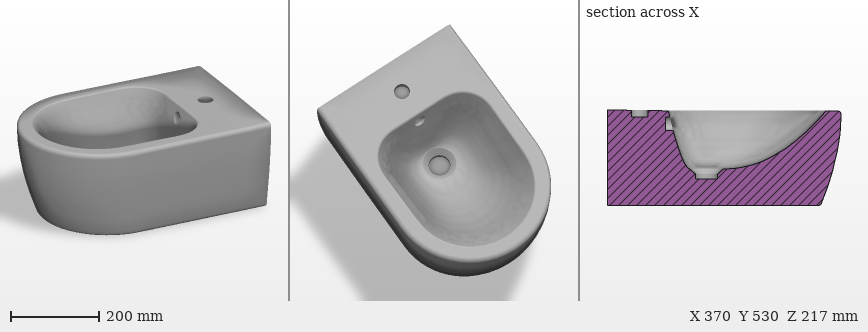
import cadquery as cq
import math


EDGE_TOLERANCE = 0.1
OPENING_MARGIN = 2.0

HALF_WIDTH = 185.0
BACK_HALF_WIDTH = 182.6
BACK_Y = 225.0
NOSE_Y = -305.0
RIM_Z = 215.0
WIDEST_Z = 204.0
SIDE_TUCK = 24.0
NOSE_TUCK = 47.0
SIDE_TUCK_POWER = 1.55
NOSE_TUCK_POWER = 1.8
BODY_SECTIONS = 6
RIM_FILLET = 10.0
BASE_FILLET = 9.0

SHELF_TOP_Z = 217.0
SHELF_RISE = SHELF_TOP_Z - RIM_Z
SHELF_FRONT_Y = 84.0
SHELF_CROWN_POWER = 5
CROWN_STEPS = 8
SHELF_SIDE_X = 174.0
SHELF_SIDE_Y = 165.0
TRIM_MARGIN = 15.0

OPENING_BACK_Y = 86.0
OPENING_FRONT_Y = -270.0
OPENING_BACK_HALF_WIDTH = 146.2
OPENING_FRONT_HALF_WIDTH = 145.0
OPENING_CORNER_Y = 10.0
OPENING_FRONT_START_Y = -125.0
OPENING_BACK_FLAT_HALF = 70.0
OPENING_FILLET = 5.0

BOWL_BOTTOM_Z = 83.5
BOWL_BOTTOM_RADIUS = 37.5
BOWL_POWER = 2.1
BOWL_BACK_POWER = 1.65
BOWL_STEPS = 7

BACK_STEPS = 3
CORNER_STEPS = 4
SIDE_STEPS = 4
FRONT_STEPS = 5

DRAIN_MOUTH_RADIUS = 38.0
DRAIN_MOUTH_FILLET = 1.5
DRAIN_RADIUS = 24.5
DRAIN_CONE_DEPTH = 12.0
DRAIN_OVERSHOOT = 5.0
DRAIN_DEPTH = 10.0

TAP_Y = 151.0
TAP_RADIUS = 18.0
TAP_DEPTH = 16.0
OVERFLOW_Z = 185.0
OVERFLOW_RADIUS = 14.5
OVERFLOW_BOTTOM_Y = 92.0


def body_outline(z):
    """Wire of the body at height z: straight back, slightly bowed sides and a semicircular nose."""
    drop = max(0.0, 1.0 - z / WIDEST_Z)
    side_inset = SIDE_TUCK * drop**SIDE_TUCK_POWER
    half = HALF_WIDTH - side_inset
    back_half = BACK_HALF_WIDTH - side_inset
    nose_y = NOSE_Y + NOSE_TUCK * drop**NOSE_TUCK_POWER
    left = cq.Vector(-half, nose_y + half, z)
    right = cq.Vector(half, nose_y + half, z)
    back_left = cq.Vector(-back_half, BACK_Y, z)
    back_right = cq.Vector(back_half, BACK_Y, z)
    backward = cq.Vector(0, 1, 0)
    nose = cq.Edge.makeThreePointArc(left, cq.Vector(0, nose_y, z), right)
    return cq.Wire.assembleEdges([
        nose,
        cq.Edge.makeTangentArc(right, backward, back_right),
        cq.Edge.makeLine(back_right, back_left),
        cq.Edge.makeTangentArc(left, backward, back_left),
    ])


def make_body():
    """Tapered shell up to its widest height, a straight band above it, trimmed by the rim and rounded."""
    levels = [WIDEST_Z * i / (BODY_SECTIONS - 1) for i in range(BODY_SECTIONS)]
    lower = cq.Solid.makeLoft([body_outline(z) for z in levels])
    band_height = SHELF_TOP_Z - WIDEST_Z
    upper = cq.Solid.extrudeLinear(body_outline(WIDEST_Z), [], cq.Vector(0, 0, band_height))
    body = cq.Workplane(lower).union(cq.Workplane(upper).intersect(rim_trim()))
    body = body.newObject(outer_rim_edges(body)).fillet(RIM_FILLET)
    return body.faces("<Z").edges("not(>Y)").fillet(BASE_FILLET)


def outer_rim_edges(body):
    """Top edges along the two sides and around the nose, leaving out the shelf outline and the back."""
    edges = []
    for edge in body.edges().vals():
        box = edge.BoundingBox()
        on_top = box.zmin > RIM_Z - EDGE_TOLERANCE
        on_side = box.xlen < HALF_WIDTH - BACK_HALF_WIDTH + EDGE_TOLERANCE
        on_nose = box.ymax < 0
        if on_top and (on_side or on_nose):
            edges.append(edge)
    return edges


def rim_trim():
    """Region below the rim plane joined with the region below the crowned, tilted shelf."""
    slope = SHELF_RISE / (BACK_Y - SHELF_FRONT_Y)
    side_drop = slope * (SHELF_SIDE_Y - SHELF_FRONT_Y)
    reach = HALF_WIDTH + TRIM_MARGIN
    crown = []
    for i in range(-CROWN_STEPS, CROWN_STEPS + 1):
        x = reach * i / CROWN_STEPS
        crown.append((x, SHELF_TOP_Z - side_drop * (abs(x) / SHELF_SIDE_X) ** SHELF_CROWN_POWER))
    profile = (
        cq.Workplane("XZ", origin=(0, BACK_Y, 0))
        .moveTo(reach, 0)
        .lineTo(-reach, 0)
        .lineTo(*crown[0])
        .spline(crown[1:], includeCurrent=True)
        .close()
    )
    length = BACK_Y - NOSE_Y
    face = cq.Face.makeFromWires(profile.val())
    shelf = cq.Solid.extrudeLinear(face, cq.Vector(0, -length, -slope * length))
    corner = cq.Vector(-reach, NOSE_Y, 0)
    flat = cq.Workplane(cq.Solid.makeBox(2 * reach, length, RIM_Z, corner))
    return flat.union(cq.Workplane(shelf))


def ellipse_points(centre_x, centre_y, radius_x, radius_y, steps, start, end):
    """Evenly spaced points on an elliptical quarter, end angles in degrees included."""
    points = []
    for i in range(steps + 1):
        angle = math.radians(start + (end - start) * i / steps)
        points.append((centre_x + radius_x * math.cos(angle), centre_y + radius_y * math.sin(angle)))
    return points


def opening_points():
    """Closed outline of the basin opening, clockwise from above, starting at the middle of the back."""
    corner = ellipse_points(
        OPENING_BACK_FLAT_HALF,
        OPENING_CORNER_Y,
        OPENING_BACK_HALF_WIDTH - OPENING_BACK_FLAT_HALF,
        OPENING_BACK_Y - OPENING_CORNER_Y,
        CORNER_STEPS, 90, 0,
    )
    side = []
    for i in range(1, SIDE_STEPS):
        t = i / SIDE_STEPS
        x = OPENING_BACK_HALF_WIDTH + t * (OPENING_FRONT_HALF_WIDTH - OPENING_BACK_HALF_WIDTH)
        side.append((x, OPENING_CORNER_Y + t * (OPENING_FRONT_START_Y - OPENING_CORNER_Y)))
    front = ellipse_points(
        0,
        OPENING_FRONT_START_Y,
        OPENING_FRONT_HALF_WIDTH,
        OPENING_FRONT_START_Y - OPENING_FRONT_Y,
        FRONT_STEPS, 0, -90,
    )
    back = [(OPENING_BACK_FLAT_HALF * i / BACK_STEPS, OPENING_BACK_Y) for i in range(1, BACK_STEPS)]
    right_half = back + corner + side + front
    left_half = [(-x, y) for x, y in reversed(right_half[:-1])]
    return [(0, OPENING_BACK_Y)] + right_half + left_half


def bowl_section(level):
    """Bowl outline at a level from 0 (flat bottom) to 1 (rim); each point moves in along its own ray."""
    points = []
    for x, y in opening_points():
        distance = math.hypot(x, y)
        backness = max(0.0, y / distance) ** 2
        power = BOWL_POWER + (BOWL_BACK_POWER - BOWL_POWER) * backness
        radius = BOWL_BOTTOM_RADIUS + (distance - BOWL_BOTTOM_RADIUS) * level ** (1 / power)
        z = BOWL_BOTTOM_Z + level * (RIM_Z - BOWL_BOTTOM_Z)
        points.append(cq.Vector(x * radius / distance, y * radius / distance, z))
    return cq.Wire.assembleEdges([cq.Edge.makeSpline(points, periodic=True)])


def make_bowl():
    """Bowl cutter: sections crowd towards the flat bottom, and one extra section rises above the rim."""
    levels = [(i / BOWL_STEPS) ** 2 for i in range(BOWL_STEPS + 2)]
    return cq.Workplane(cq.Solid.makeLoft([bowl_section(level) for level in levels]))


def vertical_hole(y, top_z, depth, radius):
    """Round cutter on the centre plane, running down from top_z."""
    return cq.Workplane("XY", origin=(0, y, top_z - depth)).circle(radius).extrude(depth)


def make_drain():
    """Funnel below the bowl that narrows to a short blind hole."""
    cone_bottom = BOWL_BOTTOM_Z - DRAIN_CONE_DEPTH
    flare = (DRAIN_MOUTH_RADIUS - DRAIN_RADIUS) / DRAIN_CONE_DEPTH
    cone_height = DRAIN_CONE_DEPTH + DRAIN_OVERSHOOT
    top_radius = DRAIN_RADIUS + flare * cone_height
    cone = cq.Solid.makeCone(DRAIN_RADIUS, top_radius, cone_height, cq.Vector(0, 0, cone_bottom))
    funnel = cq.Workplane(cone)
    return funnel.union(vertical_hole(0, cone_bottom, DRAIN_DEPTH, DRAIN_RADIUS))


def make_overflow():
    """Horizontal round pocket in the back wall of the bowl."""
    return (
        cq.Workplane("XZ", origin=(0, OVERFLOW_BOTTOM_Y, OVERFLOW_Z))
        .circle(OVERFLOW_RADIUS)
        .extrude(OVERFLOW_BOTTOM_Y)
    )


def opening_edges(body):
    """Rim edges of the basin opening."""
    half_width = OPENING_BACK_HALF_WIDTH + OPENING_MARGIN
    edges = []
    for edge in body.edges().vals():
        box = edge.BoundingBox()
        on_rim = box.zmin > RIM_Z - EDGE_TOLERANCE
        in_width = -half_width < box.xmin and box.xmax < half_width
        in_length = box.ymax < OPENING_BACK_Y + OPENING_MARGIN
        if on_rim and in_width and in_length:
            edges.append(edge)
    return edges


def drain_mouth_edges(body):
    """Edges where the bowl meets the drain funnel."""
    edges = []
    for edge in body.edges().vals():
        box = edge.BoundingBox()
        near_bottom = abs(edge.Center().z - BOWL_BOTTOM_Z) < DRAIN_MOUTH_FILLET
        if near_bottom and DRAIN_RADIUS < box.xmax < 2 * DRAIN_MOUTH_RADIUS:
            edges.append(edge)
    return edges


body = make_body().cut(make_bowl())
body = body.newObject(opening_edges(body)).fillet(OPENING_FILLET)
body = body.cut(make_drain())
body = body.newObject(drain_mouth_edges(body)).fillet(DRAIN_MOUTH_FILLET)
body = body.cut(make_overflow())
result = body.cut(vertical_hole(TAP_Y, SHELF_TOP_Z, TAP_DEPTH, TAP_RADIUS))